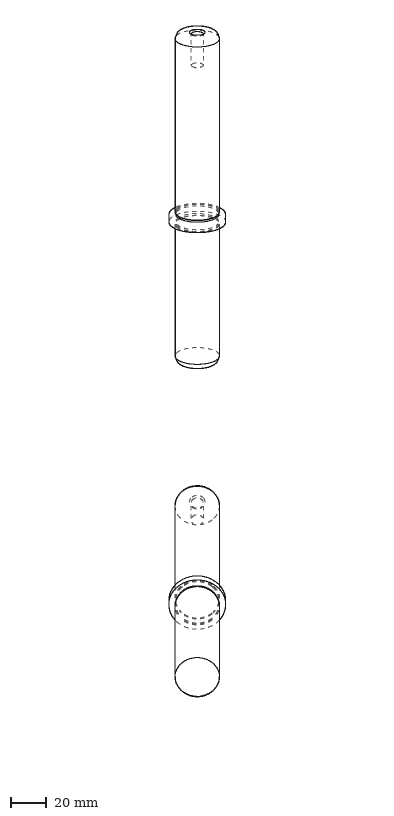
import cadquery as cq
import math

length = 200.0
shaft_radius = 25.0 / 2
collar_radius = 32.0 / 2
collar_bottom = 85.0
collar_thickness = 5.0
collar_top = collar_bottom + collar_thickness
collar_edge_radius = 0.5

end_taper_angle = math.radians(20)
end_round_radius = 3.0
end_face_radius = 9.0

undercut_height = 1.2
undercut_depth = 0.5
undercut_face_width = 1.2
undercut_face_depth = 0.2

hole_radius = 3.5
hole_depth = 20.0
hole_mouth_radius = 4.5
drill_tip_half_angle = math.radians(59)


def shaft():
    """Cylinder whose ends taper in and round over tangentially onto flat faces."""
    taper_radius = end_face_radius + end_round_radius * math.cos(end_taper_angle)
    round_height = end_round_radius * (1 - math.sin(end_taper_angle))
    taper_height = (shaft_radius - taper_radius) / math.tan(end_taper_angle)
    end_height = round_height + taper_height
    mid_angle = (math.pi / 2 + end_taper_angle) / 2
    mid_radius = end_face_radius + end_round_radius * math.cos(mid_angle)
    mid_height = end_round_radius * (1 - math.sin(mid_angle))
    return (
        cq.Workplane("XZ")
        .lineTo(end_face_radius, 0)
        .threePointArc((mid_radius, mid_height), (taper_radius, round_height))
        .lineTo(shaft_radius, end_height)
        .lineTo(shaft_radius, length - end_height)
        .lineTo(taper_radius, length - round_height)
        .threePointArc((mid_radius, length - mid_height), (end_face_radius, length))
        .lineTo(0, length)
        .close()
        .revolve(360, (0, 0, 0), (0, 1, 0))
    )


def collar():
    """Disc around the shaft with a rounded upper edge."""
    return (
        cq.Workplane("XY", origin=(0, 0, collar_bottom))
        .circle(collar_radius)
        .extrude(collar_thickness)
        .faces(">Z")
        .edges()
        .fillet(collar_edge_radius)
    )


def undercut(face_z, away):
    """Ring cut at a collar face; away is +1 above the collar and -1 below it."""
    floor_radius = shaft_radius - undercut_depth
    groove_end = face_z + away * undercut_height
    return (
        cq.Workplane("XZ")
        .moveTo(floor_radius, face_z - away * undercut_face_depth)
        .lineTo(shaft_radius, face_z - away * undercut_face_depth)
        .lineTo(shaft_radius + undercut_face_width, face_z)
        .lineTo(shaft_radius + undercut_face_width, groove_end)
        .lineTo(shaft_radius, groove_end)
        .lineTo(floor_radius, groove_end - away * undercut_depth)
        .close()
        .revolve(360, (0, 0, 0), (0, 1, 0))
    )


def top_hole():
    """Blind hole with a 45 degree countersink and a conical drill tip."""
    countersink_depth = hole_mouth_radius - hole_radius
    hole_floor = length - hole_depth
    tip_height = hole_radius / math.tan(drill_tip_half_angle)
    return (
        cq.Workplane("XZ")
        .moveTo(0, length)
        .lineTo(hole_mouth_radius, length)
        .lineTo(hole_radius, length - countersink_depth)
        .lineTo(hole_radius, hole_floor)
        .lineTo(0, hole_floor - tip_height)
        .close()
        .revolve(360, (0, 0, 0), (0, 1, 0))
    )


result = (
    shaft()
    .union(collar())
    .cut(undercut(collar_top, 1))
    .cut(undercut(collar_bottom, -1))
    .cut(top_hole())
)